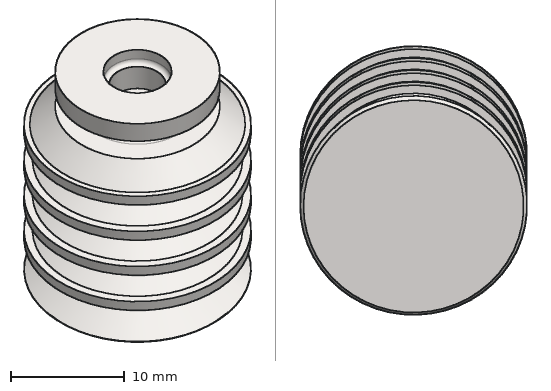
import cadquery as cq
import math

total_height = 22.9
flange_height = 2.0
neck_height = 2.0
cone_height = 2.02

flange_radius = 14.5 / 2
neck_radius = 9.5 / 2
neck_fillet = 0.45

rib_count = 4
rib_pitch = 4.0
rib_thickness = 1.0
rib_radius = 20.0 / 2
top_shoulder_radius = 9.48
shoulder_radius = 9.25
valley_radius = 7.5
valley_fillet = 0.5
flank_angle = math.radians(35)

lip_height = 0.32
lip_bottom_radius = 9.69

counterbore_radius = 6.0 / 2
bore_radius = 5.0 / 2
counterbore_depth = 1.0
bore_depth = 4.0

neck_top = total_height - flange_height
neck_bottom = neck_top - neck_height
first_rib_top = neck_bottom - cone_height


def draw_valley(outline, middle_height):
    """Add the rounded root of a fold, tangent to flanks sloping at flank_angle."""
    tangent_rise = valley_fillet * math.cos(flank_angle)
    tangent_radius = valley_radius + valley_fillet * (1 - math.sin(flank_angle))
    return outline.lineTo(tangent_radius, middle_height + tangent_rise).threePointArc(
        (valley_radius, middle_height),
        (tangent_radius, middle_height - tangent_rise),
    )


def draw_head(outline):
    """Flange, filleted neck and the cone down to the first rib."""
    round_middle = neck_fillet * (1 - math.sqrt(0.5))
    return (
        outline.lineTo(flange_radius, total_height)
        .lineTo(flange_radius, neck_top)
        .lineTo(neck_radius + neck_fillet, neck_top)
        .threePointArc(
            (neck_radius + round_middle, neck_top - round_middle),
            (neck_radius, neck_top - neck_fillet),
        )
        .lineTo(neck_radius, neck_bottom + neck_fillet)
        .threePointArc(
            (neck_radius + round_middle, neck_bottom + round_middle),
            (neck_radius + neck_fillet, neck_bottom),
        )
        .lineTo(flange_radius, neck_bottom)
        .lineTo(top_shoulder_radius, first_rib_top)
    )


def draw_bellows(outline):
    """Ribs, each with a rounded valley below it, starting from the cone."""
    valley_drop = (rib_pitch - rib_thickness) / 2
    for index in range(rib_count):
        rib_top = first_rib_top - index * rib_pitch
        rib_bottom = rib_top - rib_thickness
        if index > 0:
            outline = outline.lineTo(shoulder_radius, rib_top)
        outline = (
            outline.lineTo(rib_radius, rib_top)
            .lineTo(rib_radius, rib_bottom)
            .lineTo(shoulder_radius, rib_bottom)
        )
        outline = draw_valley(outline, rib_bottom - valley_drop)
    return outline


def make_body():
    outline = cq.Workplane("XZ").moveTo(0, total_height)
    outline = draw_bellows(draw_head(outline))
    outline = (
        outline.lineTo(rib_radius, lip_height)
        .lineTo(lip_bottom_radius, 0)
        .lineTo(0, 0)
        .close()
    )
    return outline.revolve(360, (0, 0), (0, 1))


def make_bore():
    """Wide mouth that rounds in to the narrower blind bore."""
    step = counterbore_radius - bore_radius
    step_top = total_height - counterbore_depth
    arc_offset = step * math.sqrt(0.5)
    return (
        cq.Workplane("XZ")
        .moveTo(0, total_height)
        .lineTo(counterbore_radius, total_height)
        .lineTo(counterbore_radius, step_top)
        .threePointArc(
            (bore_radius + arc_offset, step_top - arc_offset),
            (bore_radius, step_top - step),
        )
        .lineTo(bore_radius, total_height - bore_depth)
        .lineTo(0, total_height - bore_depth)
        .close()
        .revolve(360, (0, 0), (0, 1))
    )


result = make_body().cut(make_bore())